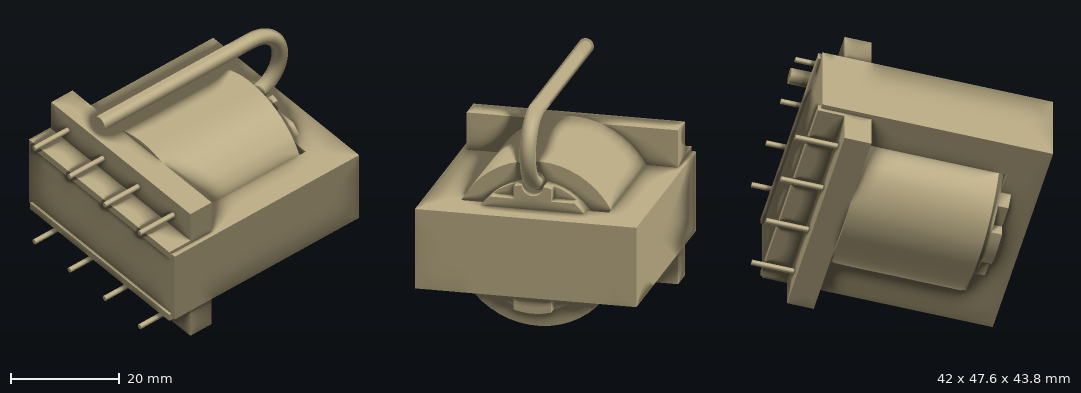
import cadquery as cq


core_width = 42.05
core_length = 44.0
core_height = 15.45
yoke = 6.95
leg_radius = core_height / 2
window_rear = core_length - yoke

winding_radius = 16.05
winding_front = 9.6
winding_rear = 35.57
wire_diameter = 3.0
wire_top = 27.78
wire_radius = wire_diameter / 2
bend_radius = core_length - wire_radius - winding_rear
wire_upper_z = wire_top - wire_radius
wire_lower_z = wire_upper_z - 2 * bend_radius

tube_radius = 8.8
rear_flange_radius = 12.5
rear_flange_end = 39.05
wire_slot_radius = 2.05
notch_x = 3.55
notch_z = 9.6
block_width = 40.15
block_front = 4.5
block_top = 15.0
lip_front = -0.5
lip_top = 8.45
lip_bottom = 6.95

pin_diameter = 1.0
pin_pitch = 10.15
pin_count = 4
pin_z = 11.5
pin_tip = -3.55


def cylinder_y(radius, y_start, y_end, x=0, z=0):
    """Cylinder along Y between two Y positions."""
    plane = cq.Workplane("XZ", origin=(x, y_start, z))
    return plane.circle(radius).extrude(y_start - y_end)


def box_between(x_range, y_range, z_range):
    """Box given by its limits on each axis."""
    (x0, x1), (y0, y1), (z0, z1) = x_range, y_range, z_range
    return cq.Workplane("XY").box(x1 - x0, y1 - y0, z1 - z0, centered=False).translate((x0, y0, z0))


def make_core_outline():
    """Solid block enclosing the core."""
    half_width = core_width / 2
    half_height = core_height / 2
    return box_between((-half_width, half_width), (0, core_length), (-half_height, half_height))


def make_core():
    """Rectangular core with a cylindrical window around a round centre leg."""
    window = cylinder_y(winding_radius, yoke, window_rear)
    centre_leg = cylinder_y(leg_radius, yoke, window_rear)
    return make_core_outline().cut(window).union(centre_leg)


def make_winding():
    """Hollow winding whose wire lead leaves the rear face and bends back over the top."""
    coil = cylinder_y(winding_radius, winding_front, winding_rear)
    coil = coil.cut(cylinder_y(tube_radius, winding_front, winding_rear))
    path = (
        cq.Workplane("YZ")
        .moveTo(winding_rear, wire_lower_z)
        .threePointArc((winding_rear + bend_radius, wire_lower_z + bend_radius), (winding_rear, wire_upper_z))
        .lineTo(lip_front, wire_upper_z)
    )
    wire = cq.Workplane("XZ", origin=(0, winding_rear, wire_lower_z)).circle(wire_radius).sweep(path)
    return coil.union(wire)


def make_rear_flange():
    """Round flange with four corner notches and a slot that clears the wire."""
    flange = cylinder_y(rear_flange_radius, winding_rear, rear_flange_end)
    notch = box_between(
        (notch_x, rear_flange_radius), (window_rear, rear_flange_end), (notch_z, rear_flange_radius)
    )
    for mirrored in (notch, notch.mirror("YZ")):
        flange = flange.cut(mirrored).cut(mirrored.mirror("XY"))
    return flange.cut(cylinder_y(wire_slot_radius, winding_rear, rear_flange_end, z=wire_lower_z))


def make_upper_terminal_block():
    """Terminal block above the core, with a lip hooked over the core front and a row of pins."""
    x_range = (-block_width / 2, block_width / 2)
    block = box_between(x_range, (block_front, winding_front), (lip_bottom, block_top))
    block = block.union(box_between(x_range, (lip_front, block_front), (lip_bottom, lip_top)))
    for index in range(pin_count):
        x = (index - (pin_count - 1) / 2) * pin_pitch
        block = block.union(cylinder_y(pin_diameter / 2, pin_tip, block_front, x, pin_z))
    return block


def make_bobbin():
    """Tube with a front flange, two terminal blocks and a notched rear flange, fitted to the core."""
    upper_block = make_upper_terminal_block()
    bobbin = (
        cylinder_y(tube_radius, yoke, rear_flange_end)
        .union(cylinder_y(winding_radius, yoke, winding_front).intersect(make_core_outline()))
        .union(upper_block)
        .union(upper_block.mirror("XY"))
        .union(make_rear_flange())
    )
    return bobbin.cut(make_core()).cut(cylinder_y(leg_radius, yoke, rear_flange_end))


core = make_core()
winding = make_winding()
bobbin = make_bobbin()

result = cq.Compound.makeCompound([body.solids().val() for body in (core, winding, bobbin)])